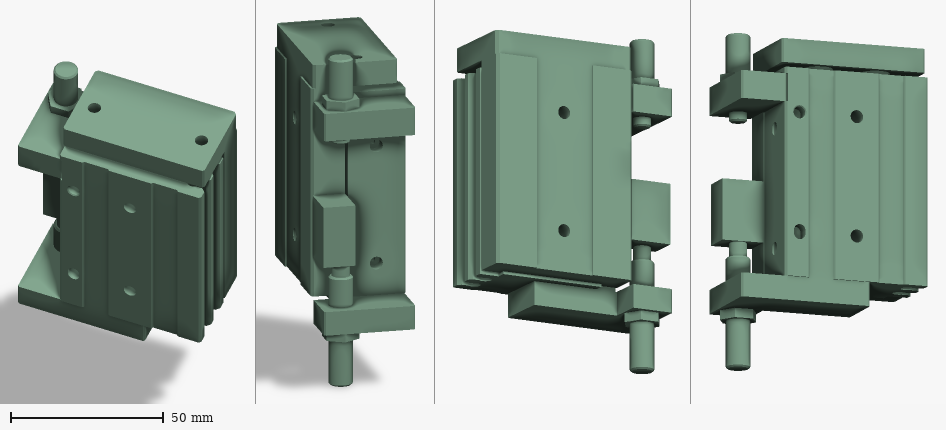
import cadquery as cq
import math


total_height = 111.5

width = 50.0
half_width = width / 2
housing_depth = 19.6
housing_height = 69.8
edge_chamfer = 0.7
groove_depth = 0.6
groove_inner_x = 7.5
groove_outer_x = 17.0
tongue_half_width = 18.1
tongue_depth = 3.3

mount_hole_dia = 4.3
lower_hole_z = 14.9
upper_hole_z = 54.9
front_hole_x = -20.0
front_hole_dia = 4.0
front_hole_depth = 4.5
front_hole_chamfer = 0.3
drill_tip_angle = 118
front_slot_length = 5.0
port_dia = 4.3
port_depth = 4.5
port_passage_dia = 1.5
port_passage_depth = 6.1
port_zs = (10.9, 51.0)
sensor_slot_dia = 4.3
sensor_slot_x = 20.0
sensor_slot_spacing = 7.8
sensor_mouth_width = 3.3
sensor_mouth_flare = 1.2

running_gap = 1.0
table_front_y = housing_depth + running_gap
table_back_y = 32.0
table_chamfer = 0.9
table_bottom_z = 1.0
table_top_z = 71.9
pad_recess_half_width = 10.4
pad_recess_depth = 0.7
block_left_x = -39.2
block_back_y = 31.4
block_bottom_z = 14.9
block_top_z = 35.5

plate_front_y = 2.9
plate_back_y = table_back_y - pad_recess_depth
plate_thickness = 8.0
plate_back_chamfer = 0.9
plate_hole_dia = 4.3
plate_hole_x = 19.0
plate_hole_y = 15.4
rod_dia = 10.0
rod_x = 9.9
rod_y = 10.0

bracket_left_x = -40.0
bracket_front_y = groove_depth
bracket_back_y = plate_back_y
lower_bracket_right_x = 4.9
lower_bracket_thickness = 8.0
upper_bracket_bottom_z = 58.3
upper_bracket_top_z = 67.7
bracket_table_clearance = 0.6
bracket_chamfer = 0.6
bracket_seat = 0.9

bolt_x = -32.6
bolt_y = 24.0
bolt_dia = 8.0
bolt_tip_dia = 6.0
bolt_chamfer = 0.6
contact_chamfer = 0.3
nut_across_flats = 11.0
nut_height = 3.1
lower_bolt_bottom_z = -27.1
lower_bolt_shoulder_z = 10.0
upper_bolt_bottom_z = 55.3
upper_bolt_top_z = lower_bolt_bottom_z + total_height


def box(x0, x1, y0, y1, z0, z1):
    return cq.Workplane("XY").box(x1 - x0, y1 - y0, z1 - z0, centered=False).translate((x0, y0, z0))


def upright_cylinder(x, y, dia, z0, z1):
    return cq.Workplane("XY").workplane(offset=z0).center(x, y).circle(dia / 2).extrude(z1 - z0)


def front_to_back_hole(x, z, dia, depth):
    return cq.Workplane("XZ").center(x, z).circle(dia / 2).extrude(-depth)


def mounting_holes():
    """Two holes that run through the housing and the table alike."""
    lower = front_to_back_hole(0, lower_hole_z, mount_hole_dia, table_back_y)
    upper = front_to_back_hole(0, upper_hole_z, mount_hole_dia, table_back_y)
    return lower.union(upper)


def front_groove(side):
    """Flute with 45 degree walls on one side of the front face."""
    return (
        cq.Workplane("XY")
        .polyline([
            (side * groove_inner_x, 0),
            (side * (groove_inner_x + groove_depth), groove_depth),
            (side * (groove_outer_x - groove_depth), groove_depth),
            (side * groove_outer_x, 0),
        ])
        .close()
        .extrude(housing_height)
    )


def sensor_slot(y):
    """Round channel along the whole housing, open to +X through a narrower flared mouth."""
    half = sensor_mouth_width / 2
    flare_x = half_width - sensor_mouth_flare
    mouth = (
        cq.Workplane("XY")
        .polyline([
            (sensor_slot_x, y - half),
            (flare_x, y - half),
            (half_width, y - half - sensor_mouth_flare),
            (half_width, y + half + sensor_mouth_flare),
            (flare_x, y + half),
            (sensor_slot_x, y + half),
        ])
        .close()
        .extrude(housing_height)
    )
    return mouth.union(upright_cylinder(sensor_slot_x, y, sensor_slot_dia, 0, housing_height))


def drilled_front_hole():
    """Blind hole with a chamfered mouth and a drill tip, as a half profile turned about its axis."""
    radius = front_hole_dia / 2
    tip_depth = front_hole_depth + radius / math.tan(math.radians(drill_tip_angle / 2))
    return (
        cq.Workplane("XY")
        .polyline([
            (0, 0),
            (radius + front_hole_chamfer, 0),
            (radius, front_hole_chamfer),
            (radius, front_hole_depth),
            (0, tip_depth),
        ])
        .close()
        .revolve(360, (0, 0), (0, 1))
        .translate((front_hole_x, 0, upper_hole_z))
    )


def front_slot():
    return (
        cq.Workplane("XZ")
        .center(front_hole_x, lower_hole_z)
        .slot2D(front_slot_length, front_hole_dia, 90)
        .extrude(-front_hole_depth)
    )


def side_port(z):
    """Stepped air port in the -X face, level with the rods."""
    face = cq.Workplane("YZ").workplane(offset=-half_width).center(rod_y, z)
    return face.circle(port_dia / 2).extrude(port_depth).union(
        face.circle(port_passage_dia / 2).extrude(port_passage_depth)
    )


def nut(z0):
    corner_dia = nut_across_flats / math.cos(math.radians(30))
    seat = cq.Workplane("XY").workplane(offset=z0).center(bolt_x, bolt_y)
    return seat.polygon(6, corner_dia).extrude(nut_height)


def lower_bolt():
    body = upright_cylinder(bolt_x, bolt_y, bolt_dia, lower_bolt_bottom_z, lower_bolt_shoulder_z)
    tip = upright_cylinder(bolt_x, bolt_y, bolt_tip_dia, lower_bolt_shoulder_z, block_bottom_z)
    body = body.faces("<Z or >Z").chamfer(bolt_chamfer)
    tip = tip.faces(">Z").chamfer(contact_chamfer)
    return body.union(tip).union(nut(-lower_bracket_thickness - nut_height))


def upper_bolt():
    body = upright_cylinder(bolt_x, bolt_y, bolt_dia, upper_bracket_bottom_z, upper_bolt_top_z)
    tip = upright_cylinder(bolt_x, bolt_y, bolt_tip_dia, upper_bolt_bottom_z, upper_bracket_bottom_z)
    body = body.faces(">Z").chamfer(bolt_chamfer)
    tip = tip.faces("<Z").chamfer(bolt_chamfer)
    return body.union(tip).union(nut(upper_bracket_top_z))


def bracket(foot_right_x, z0, z1):
    """Arm that stands clear of the table, with a foot that reaches the housing."""
    arm_right_x = -half_width - bracket_table_clearance
    arm = box(bracket_left_x, arm_right_x, bracket_front_y, bracket_back_y, z0, z1)
    arm = arm.edges("<X and |Z").chamfer(bracket_chamfer)
    foot = box(arm_right_x, foot_right_x, bracket_front_y, housing_depth, z0, z1)
    foot = foot.edges(">X and <Y").chamfer(bracket_chamfer)
    return arm.union(foot)


def lower_bracket():
    """Bracket whose foot lies under the housing."""
    return bracket(lower_bracket_right_x, -lower_bracket_thickness, 0)


def upper_bracket():
    """Bracket whose foot is seated in the housing corner."""
    return bracket(-half_width + bracket_seat, upper_bracket_bottom_z, upper_bracket_top_z)


def make_housing():
    body = box(-half_width, half_width, 0, housing_depth, 0, housing_height)
    body = body.edges("|Z and <Y").chamfer(edge_chamfer)
    tongue = box(
        -tongue_half_width, tongue_half_width,
        housing_depth, housing_depth + tongue_depth,
        0, housing_height,
    )
    body = body.union(tongue)
    for side in (-1, 1):
        body = body.cut(front_groove(side))
        body = body.cut(sensor_slot(rod_y + side * sensor_slot_spacing / 2))
    for z in port_zs:
        body = body.cut(side_port(z))
    body = body.cut(mounting_holes()).cut(drilled_front_hole()).cut(front_slot())

    seat = box(
        -half_width, -half_width + bracket_seat,
        0, bracket_front_y + bracket_chamfer,
        upper_bracket_bottom_z, upper_bracket_top_z,
    )
    body = body.cut(seat)
    for addition in (lower_bracket(), upper_bracket(), lower_bolt(), upper_bolt()):
        body = body.union(addition)
    return body


def end_plate():
    plate = box(
        -half_width, half_width,
        plate_front_y, plate_back_y,
        table_top_z, table_top_z + plate_thickness,
    )
    plate = plate.edges("|Z and <Y").chamfer(edge_chamfer)
    plate = plate.edges("|Z and >Y").chamfer(plate_back_chamfer)
    for x in (-plate_hole_x, plate_hole_x):
        hole = upright_cylinder(x, plate_hole_y, plate_hole_dia, table_top_z, table_top_z + plate_thickness)
        plate = plate.cut(hole)
    return plate


def make_table():
    slab = box(-half_width, half_width, table_front_y, table_back_y, table_bottom_z, table_top_z)
    slab = slab.edges("|Z and >Y").chamfer(table_chamfer)
    channel = box(
        -tongue_half_width, tongue_half_width,
        table_front_y, housing_depth + tongue_depth,
        table_bottom_z, table_top_z,
    )
    back_recess = box(
        -pad_recess_half_width, pad_recess_half_width,
        table_back_y - pad_recess_depth, table_back_y,
        table_bottom_z, table_top_z,
    )
    slab = slab.cut(channel).cut(back_recess).cut(mounting_holes())

    stop_block = box(
        block_left_x, -half_width,
        table_front_y, block_back_y,
        block_bottom_z, block_top_z,
    )
    body = slab.union(stop_block).union(end_plate())
    for x in (-rod_x, rod_x):
        body = body.union(upright_cylinder(x, rod_y, rod_dia, housing_height, table_top_z))
    return body


housing = make_housing()
table = make_table()

result = cq.Compound.makeCompound([housing.solids().val(), table.solids().val()])